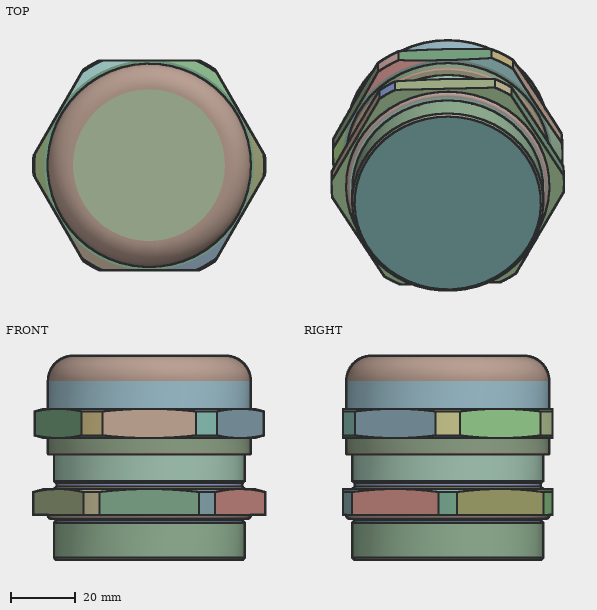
import cadquery as cq
import math

hex_across_flats = 65.0
hex_chamfer_angle = 15.0
thread_diameter = 59.15
groove_diameter = 57.65
cap_diameter = 63.0
thread_radius = thread_diameter / 2
groove_radius = groove_diameter / 2
thread_chamfer = thread_radius - groove_radius

thread_top = 12.3
collar_bottom = 12.75
body_hex_bottom = 14.0
body_hex_top = 22.0
neck_bottom = 23.8
cap_bottom = 32.7
cap_hex_bottom = 37.8
cap_hex_top = 46.85
cap_top = 63.3

body_hex_corner_diameter = 72.0
cap_hex_corner_diameter = 71.1
cap_top_fillet = 8.0
cap_bottom_fillet = 0.6


def chamfer_cone(bottom, top, corner_diameter, chamfer_bottom):
    """Turned envelope whose conical ends leave a circle as wide as the flats."""
    flat_radius = hex_across_flats / 2
    corner_radius = corner_diameter / 2
    drop = (corner_radius - flat_radius) * math.tan(math.radians(hex_chamfer_angle))
    outline = cq.Workplane("XZ").moveTo(0, bottom)
    if chamfer_bottom:
        outline = outline.lineTo(flat_radius, bottom).lineTo(corner_radius, bottom + drop)
    else:
        outline = outline.lineTo(corner_radius, bottom)
    outline = outline.lineTo(corner_radius, top - drop).lineTo(flat_radius, top).lineTo(0, top)
    return outline.close().revolve(360, (0, 0, 0), (0, 1, 0))


def chamfered_hex(bottom, top, corner_diameter, chamfer_bottom):
    """Hexagon with corners on X, rounded and chamfered by the turned envelope."""
    hexagon = (
        cq.Workplane("XY")
        .workplane(offset=bottom)
        .polygon(6, hex_across_flats / math.cos(math.pi / 6))
        .extrude(top - bottom)
    )
    return hexagon.intersect(chamfer_cone(bottom, top, corner_diameter, chamfer_bottom))


def threaded_body():
    """Turned body with undercuts on both sides of its collar and hexagon."""
    collar_radius = cap_diameter / 2
    collar_fillet = body_hex_bottom - collar_bottom
    arc_inset = collar_fillet * (1 - math.sqrt(0.5))
    turned = (
        cq.Workplane("XZ")
        .lineTo(groove_radius, 0)
        .lineTo(thread_radius, thread_chamfer)
        .lineTo(thread_radius, thread_top - thread_chamfer)
        .lineTo(groove_radius, thread_top)
        .lineTo(groove_radius, collar_bottom)
        .lineTo(collar_radius - collar_fillet, collar_bottom)
        .threePointArc(
            (collar_radius - arc_inset, collar_bottom + arc_inset),
            (collar_radius, body_hex_bottom),
        )
        .lineTo(collar_radius, body_hex_top)
        .lineTo(thread_radius, body_hex_top)
        .lineTo(groove_radius, body_hex_top + thread_chamfer)
        .lineTo(groove_radius, neck_bottom)
        .lineTo(thread_radius, neck_bottom + thread_chamfer)
        .lineTo(thread_radius, cap_bottom)
        .lineTo(0, cap_bottom)
        .close()
        .revolve(360, (0, 0, 0), (0, 1, 0))
    )
    return turned.union(chamfered_hex(body_hex_bottom, body_hex_top, body_hex_corner_diameter, False))


def cap():
    """Domed cap nut with a hexagon around it."""
    height = cap_top - cap_bottom
    shell = cq.Workplane("XY").workplane(offset=cap_bottom).circle(cap_diameter / 2).extrude(height)
    shell = shell.faces(">Z").edges().fillet(cap_top_fillet)
    shell = shell.faces("<Z").edges().fillet(cap_bottom_fillet)
    return shell.union(chamfered_hex(cap_hex_bottom, cap_hex_top, cap_hex_corner_diameter, True))


result = threaded_body().union(cap())